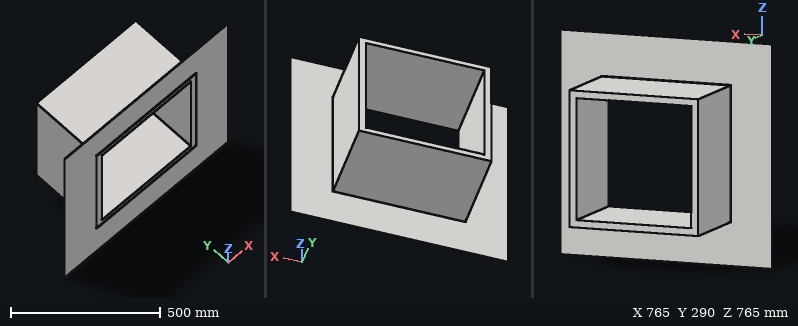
import cadquery as cq

plate_side = 765.0
plate_thickness = 1.0
sleeve_side = 465.0
sleeve_wall = 25.0
sleeve_depth = 290.0
fit_clearance = 1.0

sleeve_opening = sleeve_side - 2 * sleeve_wall
plate_opening = sleeve_side + 2 * fit_clearance


def square_block(side, depth):
    """Square block centred on the Y axis, running from Y = 0 to Y = depth."""
    return cq.Workplane("XY").box(side, depth, side).translate((0, depth / 2, 0))


def square_frame(outer_side, inner_side, depth):
    """Square block with a square opening right through it along Y."""
    return square_block(outer_side, depth).cut(square_block(inner_side, depth))


flange_plate = square_frame(plate_side, plate_opening, plate_thickness)

sleeve = square_frame(sleeve_side, sleeve_opening, sleeve_depth)

result = cq.Compound.makeCompound([flange_plate.val(), sleeve.val()])